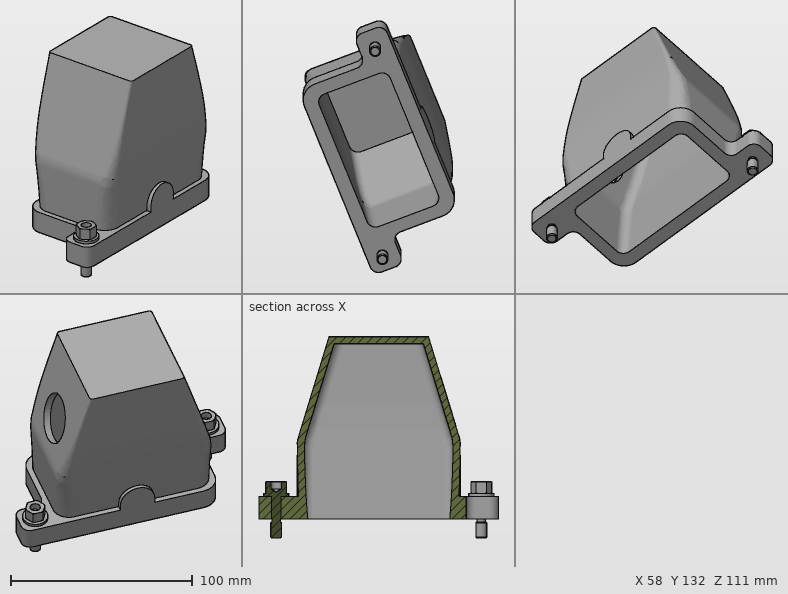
import cadquery as cq
import math

PLATE_LENGTH = 132.0
PLATE_WIDTH = 58.0
PLATE_THICKNESS = 12.5
FRAME_LENGTH = 96.5
FRAME_CORNER_RADIUS = 10.0
TAB_WIDTH = 18.0
TAB_CORNER_RADIUS = 5.0
TAB_ROOT_RADIUS = 5.0

HOOD_TOP_Z = 100.5
HOOD_WIDTH = PLATE_WIDTH
SIDE_DRAFT = math.radians(4)
SIDE_BEND_Z = 56.4
SIDE_BEND_RADIUS = 195.0
HOOD_LENGTH = 90.0
HOOD_TOP_LENGTH = 55.0
END_BEND_Z = 43.2
END_BEND_RADIUS = 20.0
CORNER_RADIUS_FOOT = 9.0
CORNER_RADIUS_END_BEND = 6.8
CORNER_RADIUS_SIDE_BEND = 3.0
CORNER_RADIUS_TOP = 1.7
WALL = 4.0
CAVITY_CORNER_RADIUS = CORNER_RADIUS_FOOT - WALL

CABLE_HOLE_DIAMETER = 28.0
CABLE_HOLE_Y = 38.5

LUG_RADIUS = 10.0
LUG_CENTRE_Z = 16.0

SCREW_X = 20.0
SCREW_Y = 56.5
FLANGE_DIAMETER = 14.0
FLANGE_THICKNESS = 1.6
HEX_ACROSS_FLATS = 10.0
HEX_HEIGHT = 6.5
HEX_CHAMFER_DIAMETER = 10.6
HEX_CHAMFER_HEIGHT = 0.3
BORE_DIAMETER = 5.6
BORE_DEPTH = 4.0
BORE_TIP_ANGLE = math.radians(118)
NECK_DIAMETER = 4.8
NECK_PROTRUSION = 1.5
THREAD_DIAMETER = 6.0
THREAD_CHAMFER = 0.6
SCREW_PROTRUSION = 10.5

END_LEAN = math.atan2((HOOD_LENGTH - HOOD_TOP_LENGTH) / 2, HOOD_TOP_Z - END_BEND_Z)

FOOT = 0
END_BEND_START = 1
SIDE_BEND_FINISH = 4
TOP = 5
HOOD_CORNER_RADII = {
    FOOT: CORNER_RADIUS_FOOT,
    END_BEND_START: CORNER_RADIUS_END_BEND,
    SIDE_BEND_FINISH: CORNER_RADIUS_SIDE_BEND,
    TOP: CORNER_RADIUS_TOP,
}
CAVITY_CORNER_RADII = {FOOT: CAVITY_CORNER_RADIUS, TOP: CAVITY_CORNER_RADIUS}

SCREW_PLACES = [(-SCREW_X, SCREW_Y), (SCREW_X, -SCREW_Y)]
SEAT_Z = PLATE_THICKNESS


def make_plate():
    """Flat frame with one screw tab at each of two opposite corners."""
    half_width = PLATE_WIDTH / 2
    half_frame = FRAME_LENGTH / 2
    half_length = PLATE_LENGTH / 2
    tab_inner_x = half_width - TAB_WIDTH
    outline = [
        (-half_width, -half_frame),
        (tab_inner_x, -half_frame),
        (tab_inner_x, -half_length),
        (half_width, -half_length),
        (half_width, half_frame),
        (-tab_inner_x, half_frame),
        (-tab_inner_x, half_length),
        (-half_width, half_length),
    ]
    frame_corners = [(-half_width, -half_frame), (half_width, half_frame)]
    tab_roots = [(tab_inner_x, -half_frame), (-tab_inner_x, half_frame)]

    plate = cq.Workplane("XY").polyline(outline).close().extrude(PLATE_THICKNESS)
    plate = plate.edges("|Z and (>Y or <Y)").fillet(TAB_CORNER_RADIUS)
    plate = plate.edges(upright_edges_at(tab_roots)).fillet(TAB_ROOT_RADIUS)
    return plate.edges(upright_edges_at(frame_corners)).fillet(FRAME_CORNER_RADIUS)


def upright_edges_at(places):
    """Selector for the upright plate edges standing at the two given (x, y) places."""
    reach = 0.1
    boxes = [
        cq.selectors.BoxSelector(
            (x - reach, y - reach, 0),
            (x + reach, y + reach, PLATE_THICKNESS),
        )
        for x, y in places
    ]
    return boxes[0] + boxes[1]


def bent_profile(plane, half_span, bend_z, bend_radius, lean_below, lean_above, bottom_z):
    """Symmetric outline whose two sides bend once, through a tangent arc, at bend_z."""
    tangent_length = bend_radius * math.tan((lean_below + lean_above) / 2)
    bottom = half_span - (bend_z - bottom_z) * math.tan(lean_below)
    top = half_span - (HOOD_TOP_Z - bend_z) * math.tan(lean_above)
    bend_start = half_span - tangent_length * math.sin(lean_below)
    bend_start_z = bend_z - tangent_length * math.cos(lean_below)
    bend_end = half_span - tangent_length * math.sin(lean_above)
    bend_end_z = bend_z + tangent_length * math.cos(lean_above)
    return (
        cq.Workplane(plane)
        .moveTo(-bottom, bottom_z)
        .lineTo(bottom, bottom_z)
        .lineTo(bend_start, bend_start_z)
        .tangentArcPoint((bend_end, bend_end_z), relative=False)
        .lineTo(top, HOOD_TOP_Z)
        .lineTo(-top, HOOD_TOP_Z)
        .lineTo(-bend_end, bend_end_z)
        .tangentArcPoint((-bend_start, bend_start_z), relative=False)
        .close()
    )


def make_hood_block(bottom_z, inset):
    """Sharp-cornered hood shape down to bottom_z, shrunk on every face by inset."""
    across_x = bent_profile(
        "XZ", HOOD_WIDTH / 2, SIDE_BEND_Z, SIDE_BEND_RADIUS, SIDE_DRAFT, 0, bottom_z
    )
    across_y = bent_profile(
        "YZ", HOOD_LENGTH / 2, END_BEND_Z, END_BEND_RADIUS, 0, END_LEAN, bottom_z
    )
    if inset:
        across_x = across_x.offset2D(-inset)
        across_y = across_y.offset2D(-inset)
    x_prism = across_x.extrude(PLATE_LENGTH, both=True)
    y_prism = across_y.extrude(PLATE_LENGTH, both=True)
    return x_prism.intersect(y_prism)


def round_corners(block, radii):
    """Round the four corner edge chains with radii that blend from one given joint to the next."""
    fillet = cq.occ_impl.shapes.BRepFilletAPI_MakeFillet(block.val().wrapped)
    touching = 1e-4
    rising_edges = block.edges("not #Z").vals()
    for foot in block.faces("<Z").vertices().vals():
        lowest_edge = next(edge for edge in rising_edges if edge.distance(foot) < touching)
        fillet.Add(lowest_edge.wrapped)
        chain = fillet.NbContours()
        chain_vertices = [
            vertex for vertex in block.vertices().vals()
            if fillet.RelativeAbscissa(chain, vertex.wrapped) >= 0
        ]
        chain_vertices.sort(key=lambda vertex: vertex.Z)
        for joint, radius in radii.items():
            fillet.SetRadius(radius, chain, chain_vertices[joint].wrapped)
    return cq.Workplane(cq.Shape.cast(fillet.Shape()).Solids()[0])


def make_lug_bar():
    """Round-topped tongue across the full width; only its two ends show outside the hood."""
    return (
        cq.Workplane("YZ")
        .moveTo(-LUG_RADIUS, 0)
        .lineTo(LUG_RADIUS, 0)
        .lineTo(LUG_RADIUS, LUG_CENTRE_Z)
        .threePointArc((0, LUG_CENTRE_Z + LUG_RADIUS), (-LUG_RADIUS, LUG_CENTRE_Z))
        .close()
        .extrude(PLATE_WIDTH / 2, both=True)
    )


def make_cable_hole():
    """Round cutter, square to the leaning +Y end of the hood and just through its wall."""
    hole_z = END_BEND_Z + (HOOD_LENGTH / 2 - CABLE_HOLE_Y) / math.tan(END_LEAN)
    outward = cq.Vector(0, math.cos(END_LEAN), math.sin(END_LEAN))
    start = cq.Vector(0, CABLE_HOLE_Y, hole_z) - outward * (2 * WALL)
    return cq.Workplane(
        cq.Solid.makeCylinder(CABLE_HOLE_DIAMETER / 2, 4 * WALL, start, outward)
    )


def make_hood():
    """Hollow cable hood, open at the bottom, with its mounting plate."""
    shell = round_corners(make_hood_block(SEAT_Z, 0), HOOD_CORNER_RADII)
    cavity = round_corners(make_hood_block(-WALL, WALL), CAVITY_CORNER_RADII)
    screw_holes = (
        cq.Workplane("XY")
        .pushPoints(SCREW_PLACES)
        .circle(NECK_DIAMETER / 2)
        .extrude(PLATE_THICKNESS)
    )
    return (
        make_plate()
        .union(shell)
        .union(make_lug_bar())
        .cut(cavity)
        .cut(make_cable_hole())
        .cut(screw_holes)
    )


def make_hex_head():
    """Hexagon with two corners on the Y axis and both of its ends chamfered."""
    across_corners = HEX_ACROSS_FLATS / math.cos(math.pi / 6)
    hexagon = (
        cq.Workplane("XY")
        .polygon(6, across_corners)
        .extrude(HEX_HEIGHT)
        .rotate((0, 0, 0), (0, 0, 1), 90)
    )
    end_radius = HEX_CHAMFER_DIAMETER / 2
    corner_radius = across_corners / 2
    envelope = (
        cq.Workplane("XZ")
        .polyline([
            (0, 0),
            (end_radius, 0),
            (corner_radius, HEX_CHAMFER_HEIGHT),
            (corner_radius, HEX_HEIGHT - HEX_CHAMFER_HEIGHT),
            (end_radius, HEX_HEIGHT),
            (0, HEX_HEIGHT),
        ])
        .close()
        .revolve(360, (0, 0), (0, 1))
    )
    return hexagon.intersect(envelope)


def make_screw():
    """Flanged hex screw about Z: necked through the plate, threaded end below, bored head."""
    head_top_z = SEAT_Z + FLANGE_THICKNESS + HEX_HEIGHT
    neck_radius = NECK_DIAMETER / 2
    thread_radius = THREAD_DIAMETER / 2
    thread_top_z = -NECK_PROTRUSION
    shank = (
        cq.Workplane("XZ")
        .polyline([
            (0, -SCREW_PROTRUSION),
            (thread_radius - THREAD_CHAMFER, -SCREW_PROTRUSION),
            (thread_radius, -SCREW_PROTRUSION + THREAD_CHAMFER),
            (thread_radius, thread_top_z - THREAD_CHAMFER),
            (neck_radius, thread_top_z),
            (neck_radius, SEAT_Z),
            (FLANGE_DIAMETER / 2, SEAT_Z),
            (FLANGE_DIAMETER / 2, SEAT_Z + FLANGE_THICKNESS),
            (0, SEAT_Z + FLANGE_THICKNESS),
        ])
        .close()
        .revolve(360, (0, 0), (0, 1))
    )
    head = make_hex_head().translate((0, 0, SEAT_Z + FLANGE_THICKNESS))

    bore_radius = BORE_DIAMETER / 2
    bore_floor_z = head_top_z - BORE_DEPTH
    tip_depth = bore_radius / math.tan(BORE_TIP_ANGLE / 2)
    bore = (
        cq.Workplane("XZ")
        .polyline([
            (0, bore_floor_z - tip_depth),
            (bore_radius, bore_floor_z),
            (bore_radius, head_top_z),
            (0, head_top_z),
        ])
        .close()
        .revolve(360, (0, 0), (0, 1))
    )
    return shank.union(head).cut(bore)


hood = make_hood().solids()
screws = [make_screw().translate((x, y, 0)).solids() for x, y in SCREW_PLACES]

result = cq.Compound.makeCompound([hood.val(), *[screw.val() for screw in screws]])